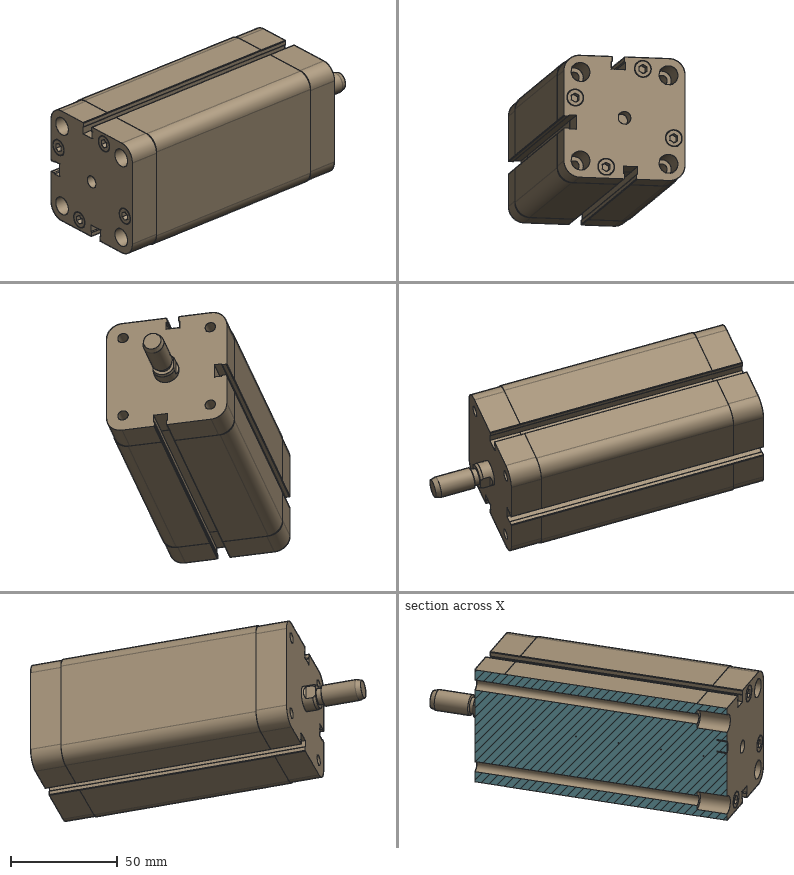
import cadquery as cq
import math


total_length = 154.0
body_width = 58.0
rod_length = 28.5
front_y = -total_length / 2
body_end_y = total_length / 2 - rod_length
body_length = body_end_y - front_y

cap_length = 15.0
cap_corner_radius = 7.5
tube_corner_radius = 7.0
cap_inset = 0.08
cap_width = body_width - 2 * cap_inset
tube_length = body_length - 2 * cap_length

slot_offset = 3.0
slot_mouth_width = 5.7
slot_width = 6.6
slot_depth = 6.0
slot_mouth_chamfer = 0.3
slot_lip_start = 2.2
slot_lip_end = 2.6

mount_spacing = 42.0
mount_hole_diameter = 5.0
counterbore_diameter = 9.0
counterbore_depth = 15.0

screw_along = 8.8
screw_from_axis = 23.5
screw_bore_diameter = 8.0
screw_head_diameter = 7.5
screw_head_height = 5.0
socket_across_flats = 3.7
socket_depth = 3.7

centre_hole_diameter = 6.0
centre_hole_depth = 7.5

thread_diameter = 10.0
thread_length = 19.1
thread_tip_diameter = 8.5
thread_tip_length = 2.5
neck_diameter = 7.9
neck_length = 2.8
thread_end_chamfer = 0.5
collar_diameter = 12.0
collar_face_diameter = 11.1
collar_chamfer_length = 1.4
collar_flat_width = 10.0
collar_flat_length = 4.6


def section_at(y):
    """Work plane facing +Y at the given Y, with local x along -X and local y along Z."""
    return cq.Workplane("XZ", origin=(0, y, 0)).transformed(rotate=(0, 180, 0))


def rounded_bar(y, length, width, corner_radius):
    """Square bar with rounded corners along the body axis."""
    return (
        section_at(y).rect(width, width).extrude(length)
        .edges("|Y").fillet(corner_radius)
    )


def sensor_slot(y, length, width):
    """Undercut slot along one stretch of the body, in the top side of a bar of the given width."""
    top = width / 2
    half_mouth = slot_mouth_width / 2
    half_slot = slot_width / 2
    half_outline = [
        (half_mouth + slot_mouth_chamfer, top),
        (half_mouth, top - slot_mouth_chamfer),
        (half_mouth, top - slot_lip_start),
        (half_slot, top - slot_lip_end),
        (half_slot, top - slot_depth),
    ]
    mirrored = [(-x, z) for x, z in reversed(half_outline)]
    return (
        section_at(y).polyline(half_outline + mirrored).close().extrude(length)
        .translate((-slot_offset, 0, 0))
    )


def body_section(y, length, width, corner_radius):
    """Rounded bar with slots in its top, left and bottom sides."""
    bar = rounded_bar(y, length, width, corner_radius)
    slot = sensor_slot(y, length, width)
    for turns in range(3):
        bar = bar.cut(slot.rotate((0, 0, 0), (0, -1, 0), 90 * turns))
    return bar


def mounting_holes():
    centres = section_at(front_y).rect(mount_spacing, mount_spacing, forConstruction=True).vertices()
    holes = centres.circle(mount_hole_diameter / 2).extrude(body_length)
    return holes.union(centres.circle(counterbore_diameter / 2).extrude(counterbore_depth))


def screw_recess(x, z):
    """Ring gap around a screw head and the hexagon socket in it, two socket sides upright."""
    face = section_at(front_y).center(-x, z)
    bore = face.circle(screw_bore_diameter / 2).extrude(screw_head_height)
    head = face.circle(screw_head_diameter / 2).extrude(screw_head_height)
    across_corners = socket_across_flats / math.cos(math.pi / 6)
    socket = face.transformed(rotate=(0, 0, 30)).polygon(6, across_corners).extrude(socket_depth)
    return bore.cut(head).union(socket)


def piston_rod():
    """Threaded rod end with an undercut neck and a collar that has two wrench flats."""
    tip_y = total_length / 2
    thread_end_y = tip_y - thread_length
    collar_y = thread_end_y - neck_length
    rod = (
        cq.Workplane("XY").moveTo(0, body_end_y)
        .lineTo(collar_diameter / 2, body_end_y)
        .lineTo(collar_diameter / 2, collar_y - collar_chamfer_length)
        .lineTo(collar_face_diameter / 2, collar_y)
        .lineTo(neck_diameter / 2, collar_y)
        .lineTo(neck_diameter / 2, thread_end_y - thread_end_chamfer)
        .lineTo(thread_diameter / 2, thread_end_y)
        .lineTo(thread_diameter / 2, tip_y - thread_tip_length)
        .lineTo(thread_tip_diameter / 2, tip_y)
        .lineTo(0, tip_y)
        .close()
        .revolve(360, (0, 0, 0), (0, 1, 0))
    )
    flat_x = collar_flat_width / 2
    flat_end_y = collar_y - collar_flat_length
    cut_depth = collar_diameter / 2 - flat_x
    flat_cut = (
        cq.Workplane("XY").workplane(offset=-collar_diameter / 2)
        .polyline([
            (flat_x, collar_y),
            (flat_x, flat_end_y),
            (flat_x + cut_depth, flat_end_y - cut_depth),
            (flat_x + cut_depth, collar_y),
        ])
        .close().extrude(collar_diameter)
    )
    return rod.cut(flat_cut).cut(flat_cut.mirror("YZ"))


body = body_section(front_y, cap_length, cap_width, cap_corner_radius)
body = body.union(body_section(front_y + cap_length, tube_length, body_width, tube_corner_radius))
body = body.union(body_section(body_end_y - cap_length, cap_length, cap_width, cap_corner_radius))

body = body.cut(mounting_holes())
screw_x, screw_z = screw_along, screw_from_axis
for _ in range(4):
    body = body.cut(screw_recess(screw_x, screw_z))
    screw_x, screw_z = -screw_z, screw_x
body = body.cut(section_at(front_y).circle(centre_hole_diameter / 2).extrude(centre_hole_depth))

result = body.union(piston_rod())